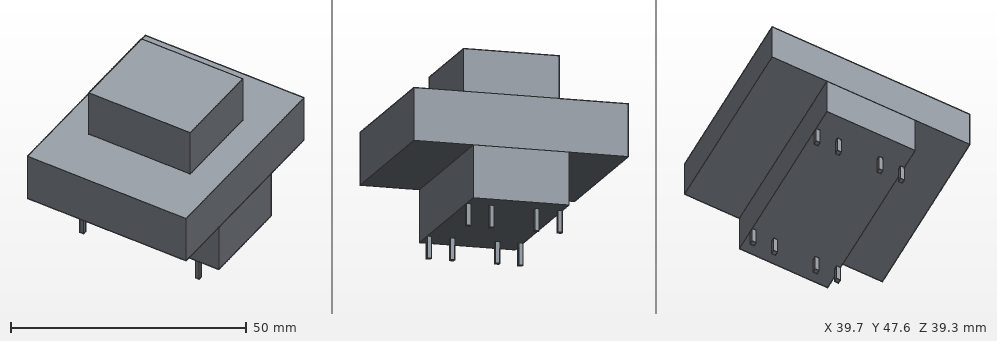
import cadquery as cq

WIDTH = 39.67
CORE_DEPTH = 47.62
BOBBIN_DEPTH = 21.25
COLUMN_WIDTH = 25.4
LAYER_HEIGHT = 11.62
TOTAL_HEIGHT = 39.34

PIN_SIZE = 0.95
PIN_LENGTH = 4.77
PIN_ROW_SPACING = 28.9
INNER_PIN_SPACING = 10.0

CORE_BOTTOM = LAYER_HEIGHT
COLUMN_TOP = TOTAL_HEIGHT - PIN_LENGTH


def block(width, depth, bottom, height):
    """Box centred on the Z axis, standing on the level `bottom`."""
    return (
        cq.Workplane("XY")
        .workplane(offset=bottom)
        .rect(width, depth)
        .extrude(height)
    )


def make_bobbin():
    """Wide base with a narrower column that passes up through the core."""
    base = block(WIDTH, BOBBIN_DEPTH, 0, LAYER_HEIGHT)
    column = block(COLUMN_WIDTH, BOBBIN_DEPTH, CORE_BOTTOM, COLUMN_TOP - CORE_BOTTOM)
    return base.union(column)


def make_core():
    """Flat core with a window that fits the bobbin column."""
    plate = block(WIDTH, CORE_DEPTH, CORE_BOTTOM, LAYER_HEIGHT)
    window = block(COLUMN_WIDTH, BOBBIN_DEPTH, CORE_BOTTOM, LAYER_HEIGHT)
    return plate.cut(window)


def make_pin(x, y):
    """Square pin hanging from the underside of the bobbin base."""
    return block(PIN_SIZE, PIN_SIZE, -PIN_LENGTH, PIN_LENGTH).translate((x, y, 0))


bobbin = make_bobbin()
core = make_core()

row_x = PIN_ROW_SPACING / 2
inner_y = INNER_PIN_SPACING / 2
outer_y = (BOBBIN_DEPTH - PIN_SIZE) / 2
pins = [
    make_pin(x, y)
    for x in (-row_x, row_x)
    for y in (-outer_y, -inner_y, inner_y, outer_y)
]

result = cq.Compound.makeCompound([bobbin.val(), core.val(), *[pin.val() for pin in pins]])